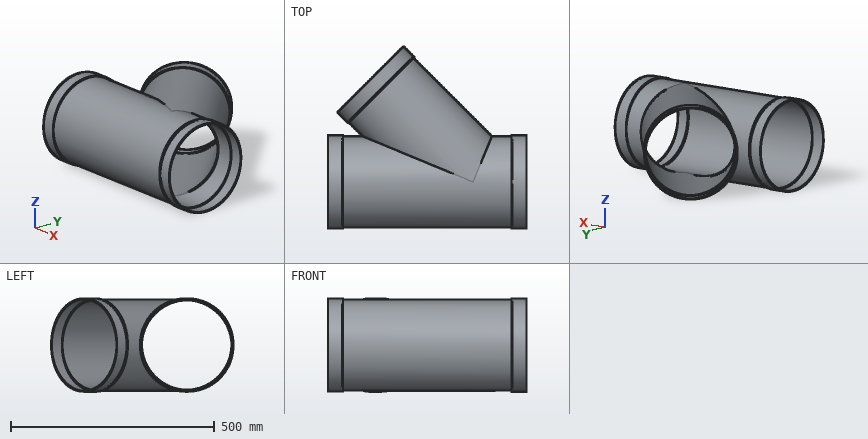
import cadquery as cq
import math

bore_diameter = 220.0
wall = 2.5
socket_depth = 35.0
run_length = 488.0
branch_angle = 45.0
branch_offset = 112.5
overall_width = 448.47

pipe_diameter = bore_diameter + 2 * wall
socket_diameter = pipe_diameter
collar_diameter = socket_diameter + 2 * wall
collar_length = socket_depth + wall

angle = math.radians(branch_angle)
collar_radius = collar_diameter / 2
branch_tip_y = overall_width - collar_radius
branch_length = (branch_tip_y - collar_radius * math.cos(angle)) / math.sin(angle)

run_start = cq.Vector(-run_length / 2, 0, 0)
run_direction = cq.Vector(1, 0, 0)
axes_crossing = cq.Vector(branch_offset, 0, 0)
branch_direction = cq.Vector(-math.cos(angle), math.sin(angle), 0)


def cylinder(diameter, length, start, direction):
    """Solid cylinder running from start along direction."""
    return cq.Workplane(obj=cq.Solid.makeCylinder(diameter / 2, length, start, direction))


def joined_pipes(diameter):
    """The run and the branch as solid cylinders of one diameter."""
    run = cylinder(diameter, run_length, run_start, run_direction)
    branch = cylinder(diameter, branch_length, axes_crossing, branch_direction)
    return run.union(branch)


open_ends = [
    (run_start, run_direction),
    (run_start + run_direction * run_length, -run_direction),
    (axes_crossing + branch_direction * branch_length, -branch_direction),
]

fitting = joined_pipes(pipe_diameter)
for end, inward in open_ends:
    fitting = fitting.union(cylinder(collar_diameter, collar_length, end, inward))

fitting = fitting.cut(joined_pipes(bore_diameter))
for end, inward in open_ends:
    fitting = fitting.cut(cylinder(socket_diameter, socket_depth, end, inward))

result = fitting